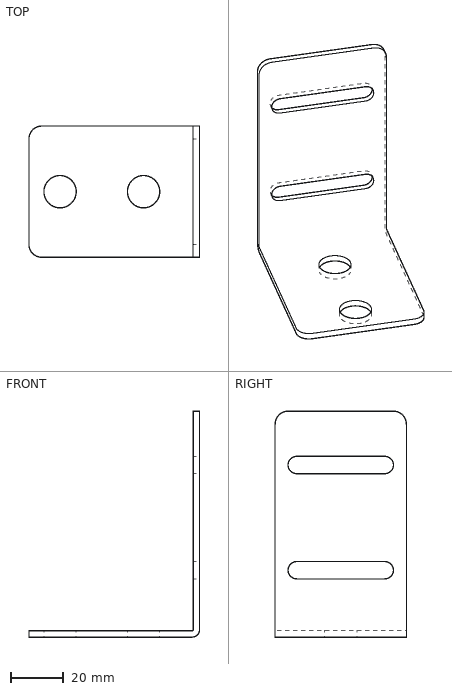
import cadquery as cq

base_length = 65.0
width = 50.0
height = 86.0
thickness = 2.5

bend_inner_radius = 0.5
bend_outer_radius = bend_inner_radius + thickness
corner_radius = 5.0

base_hole_diameter = 12.2
first_hole_x = 11.9
base_hole_spacing = 31.75

slot_length = 40.0
slot_width = 6.5
lower_slot_z = 25.5
slot_spacing = 40.0


def bent_sheet():
    """L-shaped sheet, upright at +X, bent about the Y direction."""
    profile = (
        cq.Workplane("XZ")
        .lineTo(base_length, 0)
        .lineTo(base_length, height)
        .lineTo(base_length - thickness, height)
        .lineTo(base_length - thickness, thickness)
        .lineTo(0, thickness)
        .close()
    )
    sheet = profile.extrude(width / 2, both=True)
    inner_edge = cq.selectors.NearestToPointSelector((base_length - thickness, 0, thickness))
    outer_edge = cq.selectors.NearestToPointSelector((base_length, 0, 0))
    sheet = sheet.edges(inner_edge).fillet(bend_inner_radius)
    return sheet.edges(outer_edge).fillet(bend_outer_radius)


def round_free_corners(sheet):
    """Round the two corners at the end of the base and the two at the top of the wall."""
    sheet = sheet.faces("<X").edges("|Z").fillet(corner_radius)
    return sheet.faces(">Z").edges("|X").fillet(corner_radius)


def base_holes():
    """Cutters for the two holes on the centre line of the base."""
    centers = [(first_hole_x, 0), (first_hole_x + base_hole_spacing, 0)]
    return cq.Workplane("XY").pushPoints(centers).circle(base_hole_diameter / 2).extrude(thickness)


def wall_slots():
    """Cutters for the two horizontal slots through the upright wall."""
    centers = [(0, lower_slot_z), (0, lower_slot_z + slot_spacing)]
    return (
        cq.Workplane("YZ", origin=(base_length - thickness, 0, 0))
        .pushPoints(centers)
        .slot2D(slot_length, slot_width)
        .extrude(thickness)
    )


bracket = round_free_corners(bent_sheet())
result = bracket.cut(base_holes()).cut(wall_slots())